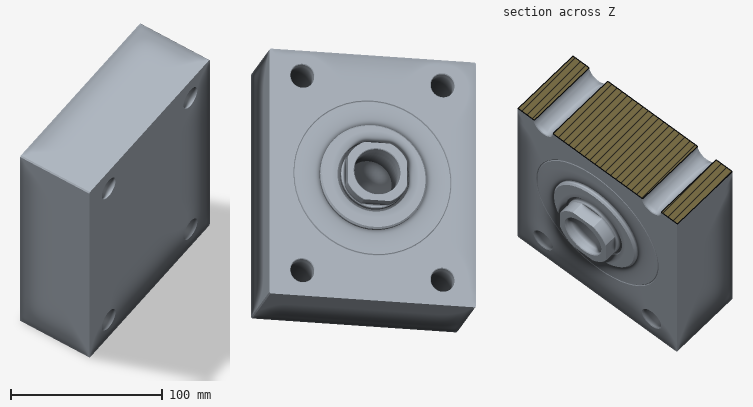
import cadquery as cq

block_height = 170.0
block_width = 140.0
block_corner_chamfer = 0.8
total_length = 70.0
rod_reach = 14.5
block_thickness = total_length - rod_reach

hole_spacing_y = 95.0
hole_spacing_z = 135.0
hole_diameter = 16.0
hole_chamfer = 0.5

gland_radius = 53.2
gland_depth = 28.0
seam_chamfer = 0.5
boss_radius = 36.0
boss_height = 3.4
boss_chamfer_length = 1.2
boss_chamfer_width = 1.0
wiper_radius = 24.1
wiper_depth = 1.7
wiper_chamfer = 0.5

rod_radius = 22.5
rod_chamfer = 0.5
shoulder_height = 5.3
end_radius = rod_radius - rod_chamfer
end_chamfer = 0.3
flat_distance = 40.0
bore_radius = 15.6
bore_chamfer = 0.5
bore_depth = 27.2
drill_point_depth = 9.0


def revolve_about_x(profile):
    """Solid of revolution about X from (x, radius) points."""
    return cq.Workplane("XY").polyline(profile).close().revolve(360, (0, 0, 0), (1, 0, 0))


def make_block():
    block = (
        cq.Workplane("XY")
        .box(block_thickness, block_width, block_height, centered=(False, True, True))
        .edges("|X")
        .chamfer(block_corner_chamfer)
    )
    seat = revolve_about_x([
        (0, 0),
        (0, gland_radius + seam_chamfer),
        (seam_chamfer, gland_radius),
        (gland_depth, gland_radius),
        (gland_depth, 0),
    ])
    hole_radius = hole_diameter / 2
    hole = revolve_about_x([
        (0, 0),
        (0, hole_radius + hole_chamfer),
        (hole_chamfer, hole_radius),
        (block_thickness, hole_radius),
        (block_thickness, 0),
    ])
    block = block.cut(seat)
    for side_y in (-1, 1):
        for side_z in (-1, 1):
            position = (0, side_y * hole_spacing_y / 2, side_z * hole_spacing_z / 2)
            block = block.cut(hole.translate(position))
    return block


def make_gland():
    return revolve_about_x([
        (gland_depth, rod_radius),
        (gland_depth, gland_radius),
        (seam_chamfer, gland_radius),
        (0, gland_radius - seam_chamfer),
        (0, boss_radius),
        (boss_chamfer_length - boss_height, boss_radius),
        (-boss_height, boss_radius - boss_chamfer_width),
        (-boss_height, wiper_radius + wiper_chamfer),
        (wiper_chamfer - boss_height, wiper_radius),
        (wiper_depth - boss_height, wiper_radius),
        (wiper_depth - boss_height, rod_radius),
    ])


def make_rod():
    shaft = revolve_about_x([
        (gland_depth, 0),
        (gland_depth, rod_radius),
        (rod_chamfer - shoulder_height, rod_radius),
        (-shoulder_height, end_radius),
        (-shoulder_height, 0),
    ])
    stepped_end = revolve_about_x([
        (-shoulder_height, 0),
        (-shoulder_height, end_radius),
        (end_chamfer - rod_reach, end_radius),
        (-rod_reach, end_radius - end_chamfer),
        (-rod_reach, 0),
    ])
    wrench_square = cq.Workplane("XY").box(2 * rod_reach, flat_distance, flat_distance)
    bore_end = bore_depth - rod_reach
    bore = revolve_about_x([
        (-rod_reach, 0),
        (-rod_reach, bore_radius + bore_chamfer),
        (bore_chamfer - rod_reach, bore_radius),
        (bore_end, bore_radius),
        (bore_end + drill_point_depth, 0),
    ])
    return shaft.union(stepped_end.intersect(wrench_square)).cut(bore)


block = make_block()
gland = make_gland()
rod = make_rod()

result = cq.Compound.makeCompound([block.val(), gland.val(), rod.val()])